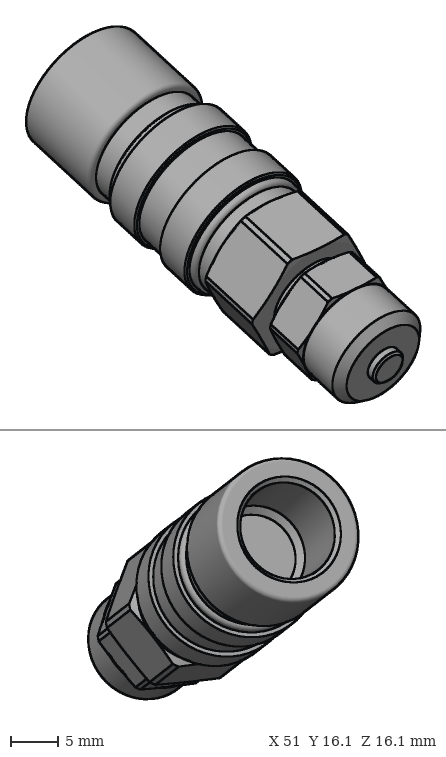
import cadquery as cq
import math

LENGTH = 51.0

SLEEVE_END = 10.85
COLLAR_START = 13.4
RING_1_START = 14.5
RING_1_END = 18.65
RING_2_START = 22.75
RING_2_END = 27.0
COLLAR_END = 27.9
BIG_HEX_START = 29.6
BIG_HEX_END = 37.9
SMALL_HEX_START = 38.9
SMALL_HEX_END = 44.0
BARREL_END = 49.95

SLEEVE_DIA = 15.8
NECK_DIA = 14.0
COLLAR_DIA = 15.1
RING_DIA = 16.15
STUD_DIA = 10.0
BARREL_DIA = 12.15
BARREL_FACE_DIA = STUD_DIA
TIP_DIA = 4.2

SLEEVE_FILLET = 0.5
COLLAR_FILLET = 0.5
RING_CHAMFER = 0.2
TIP_CHAMFER = 0.25

BIG_HEX_FLATS = 14.0
BIG_HEX_TURNED_DIA = 15.8
BIG_HEX_ANGLE = 10.6
BIG_HEX_FACE_DIA = BIG_HEX_FLATS
SMALL_HEX_FLATS = 12.0
SMALL_HEX_TURNED_DIA = 13.5
SMALL_HEX_ANGLE = 11.1
SMALL_HEX_FACE_DIA = 11.4
HEX_SOCKET_SIDE_CHAMFER = 0.35
HEX_TIP_SIDE_CHAMFER = 0.2

SOCKET_MOUTH_DIA = 11.6
SOCKET_DIA = 10.55
SOCKET_FLOOR_DIA = 9.0
SOCKET_DEPTH = 11.2


def cylinder(start, end, diameter):
    """Solid cylinder on the X axis between two stations."""
    return cq.Workplane("YZ").workplane(offset=start).circle(diameter / 2).extrude(end - start)


def cone(start, end, start_dia, end_dia):
    """Truncated cone on the X axis between two stations."""
    return cq.Workplane(cq.Solid.makeCone(
        start_dia / 2, end_dia / 2, end - start,
        pnt=cq.Vector(start, 0, 0), dir=cq.Vector(1, 0, 0),
    ))


def hexagon(start, end, flats, turned_dia, face_dia, angle):
    """Hexagonal nut body; one corner points to -Y, raised by angle toward +Z."""
    prism = (
        cq.Workplane("YZ").workplane(offset=start)
        .polygon(6, flats / math.cos(math.pi / 6))
        .extrude(end - start)
        .rotate((0, 0, 0), (1, 0, 0), -angle)
    )
    turned_start = start + HEX_SOCKET_SIDE_CHAMFER
    turned_end = end - HEX_TIP_SIDE_CHAMFER
    turned = (
        cone(start, turned_start, face_dia, turned_dia)
        .union(cylinder(turned_start, turned_end, turned_dia))
        .union(cone(turned_end, end, turned_dia, flats))
    )
    return prism.intersect(turned)


def ring(start, end):
    """Raised grip ring, square at its -X edge and chamfered at its +X edge."""
    return cylinder(start, end, RING_DIA).faces(">X").edges().chamfer(RING_CHAMFER)


def barrel():
    """Plain round nut end with a 45 degree chamfer down to its end face."""
    chamfer = (BARREL_DIA - BARREL_FACE_DIA) / 2
    return cylinder(SMALL_HEX_END, BARREL_END, BARREL_DIA).faces(">X").edges().chamfer(chamfer)


def socket():
    """Blind bore with a 45 degree mouth and a 45 degree cone down to its floor."""
    mouth_depth = (SOCKET_MOUTH_DIA - SOCKET_DIA) / 2
    cone_start = SOCKET_DEPTH - (SOCKET_DIA - SOCKET_FLOOR_DIA) / 2
    return (
        cone(0, mouth_depth, SOCKET_MOUTH_DIA, SOCKET_DIA)
        .union(cylinder(mouth_depth, cone_start, SOCKET_DIA))
        .union(cone(cone_start, SOCKET_DEPTH, SOCKET_DIA, SOCKET_FLOOR_DIA))
    )


sleeve = cylinder(0, SLEEVE_END, SLEEVE_DIA).edges().fillet(SLEEVE_FILLET)
neck = cylinder(SLEEVE_END, BIG_HEX_START, NECK_DIA)
collar = cylinder(COLLAR_START, COLLAR_END, COLLAR_DIA).edges().fillet(COLLAR_FILLET)
big_hex = hexagon(
    BIG_HEX_START, BIG_HEX_END,
    BIG_HEX_FLATS, BIG_HEX_TURNED_DIA, BIG_HEX_FACE_DIA, BIG_HEX_ANGLE,
)
stud = cylinder(BIG_HEX_END, SMALL_HEX_START, STUD_DIA)
small_hex = hexagon(
    SMALL_HEX_START, SMALL_HEX_END,
    SMALL_HEX_FLATS, SMALL_HEX_TURNED_DIA, SMALL_HEX_FACE_DIA, SMALL_HEX_ANGLE,
)
tip = cylinder(BARREL_END, LENGTH, TIP_DIA).faces(">X").edges().chamfer(TIP_CHAMFER)

result = (
    sleeve.union(neck)
    .union(collar)
    .union(ring(RING_1_START, RING_1_END))
    .union(ring(RING_2_START, RING_2_END))
    .union(big_hex)
    .union(stud)
    .union(small_hex)
    .union(barrel())
    .union(tip)
    .cut(socket())
)